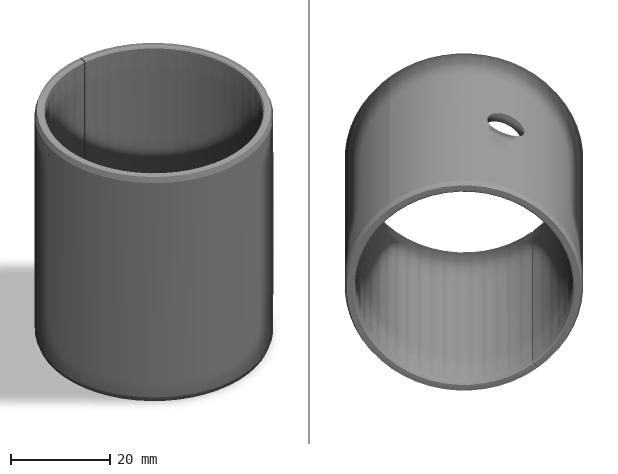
import cadquery as cq
import math

length = 55.0
outer_diameter = 48.0
inner_diameter = 44.0

outer_chamfer_height = 1.2
outer_chamfer_angle = 20.0
outer_chamfer_depth = outer_chamfer_height * math.tan(math.radians(outer_chamfer_angle))
inner_chamfer = 0.3

joint_gap = 0.4

oil_hole_diameter = 8.0
oil_hole_angle = 59.0


def make_sleeve():
    """Revolve the wall section, chamfered at all four corners."""
    outer_radius = outer_diameter / 2
    inner_radius = inner_diameter / 2
    outer_rim = outer_radius - outer_chamfer_depth
    inner_rim = inner_radius + inner_chamfer
    section = [
        (inner_rim, 0),
        (outer_rim, 0),
        (outer_radius, outer_chamfer_height),
        (outer_radius, length - outer_chamfer_height),
        (outer_rim, length),
        (inner_rim, length),
        (inner_radius, length - inner_chamfer),
        (inner_radius, inner_chamfer),
    ]
    return cq.Workplane("XZ").polyline(section).close().revolve(360, (0, 0), (0, 1))


def make_joint_cutter():
    """Thin slab from the axis out through the -X wall, over the full length."""
    return cq.Workplane("XY").box(
        outer_diameter, joint_gap, length, centered=(False, False, False)
    ).translate((-outer_diameter, 0, 0))


def make_oil_hole_cutter():
    """Cylinder from the axis out through one side of the wall."""
    return (
        cq.Workplane("YZ")
        .center(0, length / 2)
        .circle(oil_hole_diameter / 2)
        .extrude(outer_diameter)
        .rotate((0, 0, 0), (0, 0, 1), oil_hole_angle)
    )


result = make_sleeve().cut(make_joint_cutter()).cut(make_oil_hole_cutter())